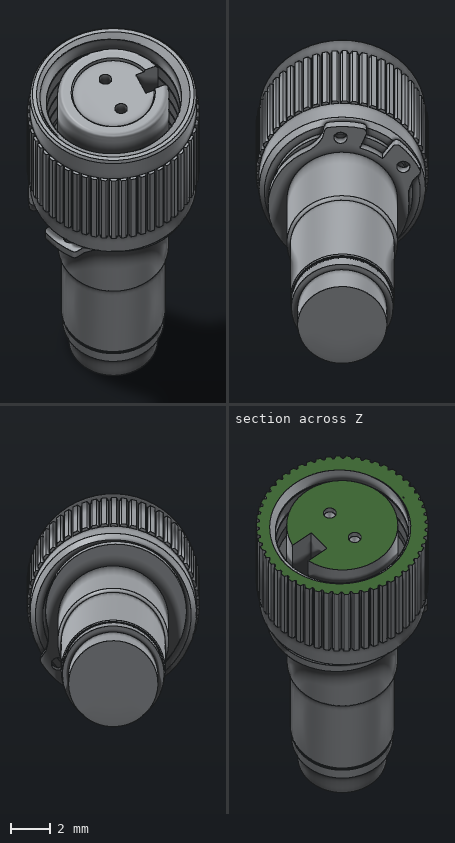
import cadquery as cq
import math


total_height = 21.8
cable_end_top = 1.7
stop_ring_top = 2.38
sleeve_bottom = 2.57
shoulder_bottom = 8.05
clip_bottom = 12.6
clip_top = 13.12
nut_bottom = 13.45
knurl_bottom = 15.1
cavity_floor = 16.5
knurl_top = 20.15
nut_top = 21.6

cable_end_radius = 2.28
stop_ring_radius = 2.6
relief_radius = 2.54
sleeve_radius = 2.66
sleeve_chamfer = 0.06
shoulder_radius = 2.83
shoulder_chamfer = shoulder_radius - sleeve_radius
collar_radius = 3.6

clip_radius = 3.6
clip_offset = 0.4
lug_radius = 4.35
lug_tip_inner_x = 0.8
lug_tip_outer_x = 2.78
lug_root_outer_x = 2.64
lug_root_outer_y = -2.78
ring_end_x = 2.92
clip_gap_half_width = 0.62
lug_flank_hollow = 0.08
lug_corner_radius = 0.25
lug_hole_radius = 0.33
lug_hole_x = 1.82
lug_hole_y = -3.2

nut_radius = 4.25
nut_bottom_chamfer = 0.27
nut_rim_chamfer = 0.12
mouth_radius = 3.92
bore_radius = 3.42
mouth_depth = 0.4
knurl_radius = 4.4
knurl_count = 54
tooth_tip_width = 0.25
tooth_base_width = 0.42
tooth_root_radius = 4.22
knurl_inner_radius = 4.1

thread_pitch = 1.0
thread_depth = 0.38
thread_width = 0.9
thread_exit_angle = 323.0
thread_cut_angle = 230.0
cutter_overlap = 0.03

insert_radius = 2.85
insert_edge_fillet = 0.3
face_recess_radius = 2.15
face_recess_taper = 0.07
face_recess_depth = 0.15
key_width = 1.25
key_inner_y = 1.54
contact_spacing = 2.0
contact_radius = 0.31
contact_depth = 2.0


def cylinder(radius, z_low, z_high):
    return cq.Workplane("XY").workplane(offset=z_low).circle(radius).extrude(z_high - z_low)


def make_stem():
    """Cable end, stop ring, sleeve, shoulder and the collar under the nut."""
    profile = [
        (0, 0),
        (cable_end_radius, 0),
        (cable_end_radius, cable_end_top),
        (stop_ring_radius, cable_end_top),
        (stop_ring_radius, stop_ring_top),
        (relief_radius, stop_ring_top),
        (relief_radius, sleeve_bottom),
        (sleeve_radius - sleeve_chamfer, sleeve_bottom),
        (sleeve_radius, sleeve_bottom + sleeve_chamfer),
        (sleeve_radius, shoulder_bottom),
        (shoulder_radius, shoulder_bottom + shoulder_chamfer),
        (shoulder_radius, clip_top),
        (collar_radius, clip_top),
        (collar_radius, nut_bottom),
        (0, nut_bottom),
    ]
    return cq.Workplane("XZ").polyline(profile).close().revolve(360, (0, 0, 0), (0, 1, 0))


def make_lug(side):
    """One clip lug; side is -1 or +1 along X."""
    tip_inner_y = -math.sqrt(lug_radius**2 - lug_tip_inner_x**2)
    tip_middle_x = (lug_tip_inner_x + lug_tip_outer_x) / 2
    tip_middle_y = -math.sqrt(lug_radius**2 - tip_middle_x**2)
    tip_end_y = -math.sqrt(lug_radius**2 - lug_tip_outer_x**2)
    ring_end_y = clip_offset - math.sqrt(clip_radius**2 - ring_end_x**2)
    flank_mid_x = (lug_root_outer_x + ring_end_x) / 2 - lug_flank_hollow
    flank_mid_y = (lug_root_outer_y + ring_end_y) / 2
    lug = (
        cq.Workplane("XY").workplane(offset=clip_bottom)
        .moveTo(side * clip_gap_half_width, 0)
        .lineTo(side * clip_gap_half_width, -shoulder_radius)
        .lineTo(side * lug_tip_inner_x, tip_inner_y)
        .threePointArc((side * tip_middle_x, tip_middle_y), (side * lug_tip_outer_x, tip_end_y))
        .lineTo(side * lug_root_outer_x, lug_root_outer_y)
        .threePointArc((side * flank_mid_x, flank_mid_y), (side * ring_end_x, ring_end_y))
        .lineTo(side * ring_end_x, 0)
        .close()
        .extrude(clip_top - clip_bottom)
    )
    selection_top = (tip_end_y + lug_root_outer_y) / 2
    outer_corners = cq.selectors.BoxSelector(
        (-lug_radius, -lug_radius, clip_bottom), (lug_radius, selection_top, clip_top))
    lug = lug.edges("|Z").edges(outer_corners).fillet(lug_corner_radius)
    hole = cylinder(lug_hole_radius, clip_bottom, clip_top).translate((side * lug_hole_x, lug_hole_y, 0))
    return lug.cut(hole)


def make_clip():
    """Eccentric retaining ring, with two drilled lugs toward -Y."""
    ring = cylinder(clip_radius, clip_bottom, clip_top).translate((0, clip_offset, 0))
    return ring.union(make_lug(-1)).union(make_lug(1))


def make_thread_groove():
    """Triangular helical cutter from the cavity floor out past the rim."""
    start_z = cavity_floor + thread_width / 2
    turns = math.ceil((nut_top - start_z) / thread_pitch) + 1
    start_angle = thread_cut_angle - 360 * (nut_top - start_z) / thread_pitch
    inner = bore_radius - cutter_overlap
    half = thread_width / 2 * (1 + cutter_overlap / thread_depth)
    helix = cq.Wire.makeHelix(thread_pitch, turns * thread_pitch, bore_radius)
    groove = (
        cq.Workplane("XZ")
        .polyline([(inner, -half), (bore_radius + thread_depth, 0), (inner, half)]).close()
        .sweep(cq.Workplane(obj=helix), isFrenet=True)
    )
    return groove.rotate((0, 0, 0), (0, 0, 1), start_angle).translate((0, 0, start_z))


def make_knurl():
    """Ring of straight trapezoidal teeth, its roots sunk just below the nut surface."""
    flank_slope = (tooth_base_width - tooth_tip_width) / 2 / (knurl_radius - nut_radius)
    root_half_width = tooth_base_width / 2 + flank_slope * (nut_radius - tooth_root_radius)
    tooth = [
        (root_half_width, tooth_root_radius),
        (tooth_tip_width / 2, knurl_radius),
        (-tooth_tip_width / 2, knurl_radius),
        (-root_half_width, tooth_root_radius),
    ]
    outline = []
    for i in range(knurl_count):
        angle = 2 * math.pi * i / knurl_count
        for x, y in tooth:
            outline.append((x * math.cos(angle) - y * math.sin(angle),
                            x * math.sin(angle) + y * math.cos(angle)))
    knurl = cq.Workplane("XY").workplane(offset=knurl_bottom).polyline(outline).close()
    knurl = knurl.extrude(knurl_top - knurl_bottom)
    return knurl.cut(cylinder(knurl_inner_radius, knurl_bottom, knurl_top))


def make_nut():
    """Knurled nut with a flared, threaded cavity."""
    profile = [
        (0, nut_bottom),
        (nut_radius - nut_bottom_chamfer, nut_bottom),
        (nut_radius, nut_bottom + nut_bottom_chamfer),
        (nut_radius, nut_top - nut_rim_chamfer),
        (nut_radius - nut_rim_chamfer, nut_top),
        (mouth_radius, nut_top),
        (bore_radius, nut_top - mouth_depth),
        (bore_radius, cavity_floor),
        (0, cavity_floor),
    ]
    nut = cq.Workplane("XZ").polyline(profile).close().revolve(360, (0, 0, 0), (0, 1, 0))
    nut = nut.cut(make_thread_groove())
    nut = nut.rotate((0, 0, 0), (0, 0, 1), thread_exit_angle - thread_cut_angle)
    return nut.union(make_knurl())


def make_insert():
    """Contact insert: rounded edge, recessed face, keyway and two contact holes."""
    insert = cylinder(insert_radius, cavity_floor, total_height).faces(">Z").edges().fillet(insert_edge_fillet)
    face_z = total_height - face_recess_depth
    recess = (
        cq.Workplane("XY").workplane(offset=face_z).circle(face_recess_radius - face_recess_taper)
        .workplane(offset=face_recess_depth).circle(face_recess_radius).loft()
    )
    key_length = insert_radius - key_inner_y
    key_depth = total_height - cavity_floor
    keyway = cq.Workplane("XY").box(key_width, key_length, key_depth, centered=(True, False, False))
    insert = insert.cut(recess).cut(keyway.translate((0, key_inner_y, cavity_floor)))
    hole_profile = [
        (0, face_z),
        (contact_radius, face_z),
        (contact_radius, face_z - contact_depth),
        (0, face_z - contact_depth - contact_radius),
    ]
    hole = cq.Workplane("XZ").polyline(hole_profile).close().revolve(360, (0, 0, 0), (0, 1, 0))
    for side in (-1, 1):
        insert = insert.cut(hole.translate((side * contact_spacing / 2, 0, 0)))
    return insert


result = make_stem().union(make_clip()).union(make_nut()).union(make_insert())